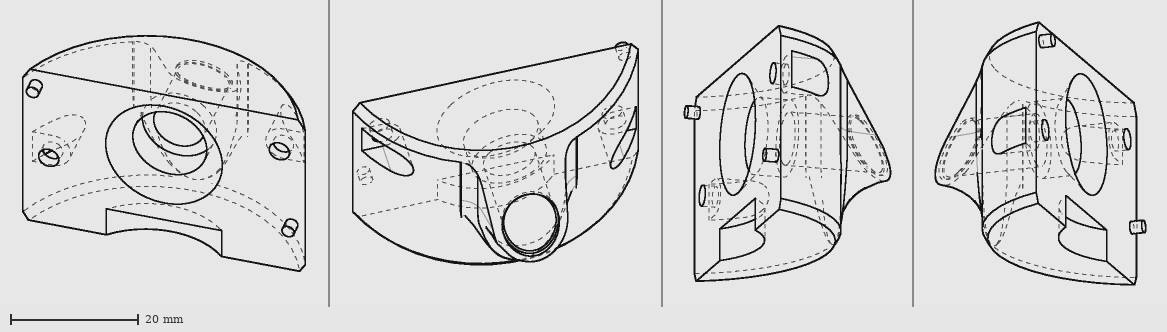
import cadquery as cq
import math

length = 46.5
height = 30.0
body_depth = 15.85
body_radius = (length**2 / 4 + body_depth**2) / (2 * body_depth)
axis_y = body_depth - body_radius

top_chamfer_height = 1.9
bottom_chamfer_height = 1.55
chamfer_slope = math.tan(math.radians(30))

bore_z = 18.1
bore_diameter = 8.4
rim_diameter = 9.15
rim_depth = 0.55
spout_tip_y = 24.75
spout_end_y = 25.55
spout_tip_half_width = 5.45
spout_taper = 0.17
spout_root_y = 14.05
root_flare_start_y = 16.95
root_flare_radius = 3.0
underside_radius = 11.4
underside_drop = bore_z - bottom_chamfer_height
root_stations = (spout_root_y, 14.4, 15.1, body_depth)
free_stations = (body_depth, 16.0, 16.35, 17.0, 18.15, 19.53, 21.4, 23.25, spout_end_y)
section_spans = 8

counterbore_diameter = 12.2
counterbore_depth = 8.15
recess_diameter = 19.2
recess_depth = 3.05

notch_width = 18.9
notch_height = 5.15
notch_depth = 3.8

screw_x = 18.95
screw_z_offset = 4.97
screw_diameter = 3.3
screw_pocket_width = 5.85
screw_seat_y = 2.1

pin_x = 21.0
pin_z_offset = 9.0
pin_diameter = 2.0
pin_length = 2.0


def cylinder_y(x, z, diameter, y_start, y_end):
    """Cylinder along Y between two Y positions."""
    direction = cq.Vector(0, 1, 0)
    base = cq.Vector(x, y_start, z)
    return cq.Workplane(cq.Solid.makeCylinder(diameter / 2, y_end - y_start, base, direction))


def revolve_about_body_axis(outline):
    """Revolve (radius, z) points about the vertical axis of the body."""
    profile = cq.Workplane("XZ").polyline(outline).close()
    return profile.revolve(360, (0, 0, 0), (0, 1, 0)).translate((0, axis_y, 0))


def make_body():
    """Curved block with its lower chamfer; the upper one is cut by the trimming cone."""
    bottom_radius = body_radius - bottom_chamfer_height * chamfer_slope
    outline = [
        (0, 0),
        (bottom_radius, 0),
        (body_radius, bottom_chamfer_height),
        (body_radius, height),
        (0, height),
    ]
    full_round = revolve_about_body_axis(outline)
    front = cq.Workplane("XY").box(2 * length, length, 2 * height, centered=(True, False, True))
    return full_round.intersect(front)


def spout_half_width(y):
    half_width = spout_tip_half_width + spout_taper * (spout_tip_y - y)
    flare = max(root_flare_start_y - y, 0)
    return half_width + root_flare_radius - math.sqrt(root_flare_radius**2 - flare**2)


def spout_drop(y):
    """Depth of the concave underside below the bore axis."""
    reach = min(body_depth + underside_radius - y, underside_radius)
    return underside_drop - math.sqrt(underside_radius**2 - reach**2)


def spout_section(y):
    """U-shaped section: upright sides above the bore axis, half an ellipse below."""
    half_width = spout_half_width(y)
    drop = spout_drop(y)
    upper_height = height - bore_z
    angles = [math.pi * i / section_spans for i in range(1, section_spans + 1)]
    section = cq.Workplane("XZ", origin=(0, y, bore_z))
    section = section.moveTo(-half_width, upper_height).lineTo(-half_width, 0)
    section = section.spline(
        [(-half_width * math.cos(angle), -drop * math.sin(angle)) for angle in angles],
        tangents=[(0, -1), (0, 1)],
        includeCurrent=True,
    )
    return section.lineTo(half_width, upper_height).close().val()


def make_spout_part(stations):
    return cq.Workplane(cq.Solid.makeLoft([spout_section(y) for y in stations]))


def make_trimming_cone():
    """Cone that forms the upper chamfer and the sloping face of the spout."""
    base_radius = body_radius + (height - top_chamfer_height) * chamfer_slope
    top_radius = body_radius - top_chamfer_height * chamfer_slope
    return revolve_about_body_axis([(0, 0), (base_radius, 0), (top_radius, height), (0, height)])


def make_recess():
    """Conical mouth and counterbore."""
    mouth = cq.Workplane(
        cq.Solid.makeCone(
            recess_diameter / 2,
            counterbore_diameter / 2,
            recess_depth,
            cq.Vector(0, 0, bore_z),
            cq.Vector(0, 1, 0),
        )
    )
    return mouth.union(cylinder_y(0, bore_z, counterbore_diameter, 0, counterbore_depth))


def make_notch():
    return (
        cq.Workplane("XY")
        .moveTo(-notch_width / 2, 0)
        .threePointArc((0, notch_depth), (notch_width / 2, 0))
        .close()
        .extrude(notch_height)
    )


def make_screw_cut(side):
    """Through hole with a round-ended head pocket open to the outer side."""
    x = side * screw_x
    z = bore_z + side * screw_z_offset
    hole = cylinder_y(x, z, screw_diameter, 0, body_depth)
    pocket = cylinder_y(x, z, screw_pocket_width, screw_seat_y, body_depth)
    opening = cq.Workplane("XY").box(
        length / 2, body_depth - screw_seat_y, screw_pocket_width, centered=(True, False, True)
    )
    opening = opening.translate((x + side * length / 4, screw_seat_y, z))
    return hole.union(pocket).union(opening)


def cut_bore(part):
    """Cut the through bore and a shallow rim recess parallel to the sloping face."""
    recess_floor = make_trimming_cone().translate((0, -rim_depth, 0))
    rim = cylinder_y(0, bore_z, rim_diameter, body_depth, spout_end_y).cut(recess_floor)
    return part.cut(cylinder_y(0, bore_z, bore_diameter, 0, spout_end_y)).cut(rim)


result = make_body().union(make_spout_part(root_stations)).union(make_spout_part(free_stations))
result = result.intersect(make_trimming_cone())
result = cut_bore(result).cut(make_recess()).cut(make_notch())
for side in (-1, 1):
    result = result.cut(make_screw_cut(side))
    pin_z = bore_z - side * pin_z_offset
    result = result.union(cylinder_y(side * pin_x, pin_z, pin_diameter, -pin_length, 0))